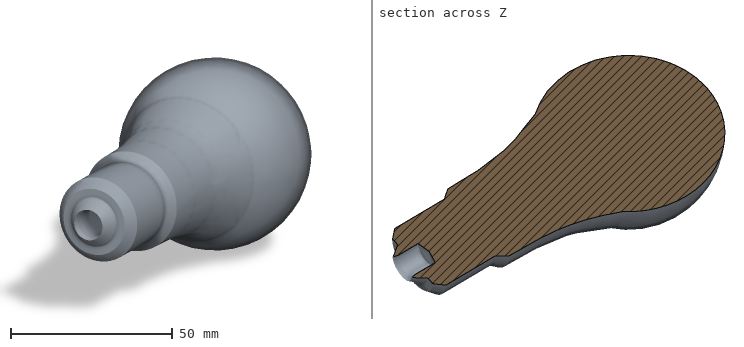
import cadquery as cq
import math

length = 117.0
globe_radius = 30.01

neck_end_radius = 23.2
waist_radius = 17.9
flare_start_radius = 16.1
collar_radius = 16.0
base_radius = 13.51
base_end_radius = 10.6
contact_root_radius = 8.0
contact_rim_radius = 4.9

bore_radius = 4.5
mouth_depth = 1.8
bore_depth = 9.4
floor_cone_height = 0.9

base_end_y = 4.0
base_chamfer_y = 6.9
base_top_y = 26.0
collar_bottom_y = 29.1
flare_start_y = 38.1
waist_y = 52.9

globe_center_y = length - globe_radius
neck_end_y = globe_center_y - math.sqrt(globe_radius**2 - neck_end_radius**2)

neck_curve = [
    (flare_start_radius, flare_start_y),
    (waist_radius, waist_y),
    (neck_end_radius, neck_end_y),
]
neck_end_angle = math.radians(24)
neck_end_direction = (math.sin(neck_end_angle), math.cos(neck_end_angle))

profile = (
    cq.Workplane("XY")
    .moveTo(0, bore_depth + floor_cone_height)
    .lineTo(bore_radius, bore_depth)
    .lineTo(bore_radius, mouth_depth)
    .lineTo(contact_rim_radius, 0)
    .lineTo(contact_root_radius, base_end_y)
    .lineTo(base_end_radius, base_end_y)
    .lineTo(base_radius, base_chamfer_y)
    .lineTo(base_radius, base_top_y)
    .lineTo(collar_radius, collar_bottom_y)
    .spline(neck_curve, tangents=[(0, 1), neck_end_direction], includeCurrent=True)
    .threePointArc((globe_radius, globe_center_y), (0, length))
    .close()
)

bulb = profile.revolve(360, (0, 0, 0), (0, 1, 0))

result = bulb.translate((0, -length / 2, 0))